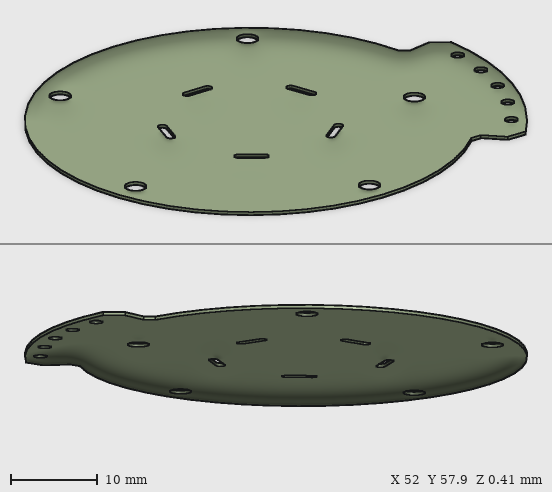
import cadquery as cq
import math

thickness = 0.41
overall_length = 57.9
disc_radius = 26.0
tab_radius = overall_length - disc_radius

tab_corner_x = 13.3
tab_widest_x = 14.05
tab_widest_y = 26.55
tab_neck_x = 12.6
tab_neck_y = 23.8
tab_root_x = 13.0

pattern_count = 5
pattern_step = 360 / pattern_count
mount_diameter = 2.5
mount_radius = 22.9
inner_mount_radius = 19.95

slot_radius = 10.2
slot_length = 4.0
slot_width = 1.05

tab_hole_diameter = 1.5
tab_hole_radius = 30.1
tab_hole_pitch = 4.8
tab_hole_count = 5


def height_on_arc(radius, x):
    """Y of the upper half of a circle about the origin."""
    return math.sqrt(radius**2 - x**2)


def polar(radius, angle):
    """Point at an angle in degrees from +X."""
    return (radius * math.cos(math.radians(angle)), radius * math.sin(math.radians(angle)))


def make_plate():
    tab_corner_y = height_on_arc(tab_radius, tab_corner_x)
    tab_root_y = height_on_arc(disc_radius, tab_root_x)
    return (
        cq.Workplane("XY")
        .moveTo(tab_root_x, tab_root_y)
        .lineTo(tab_neck_x, tab_neck_y)
        .lineTo(tab_widest_x, tab_widest_y)
        .lineTo(tab_corner_x, tab_corner_y)
        .threePointArc((0, tab_radius), (-tab_corner_x, tab_corner_y))
        .lineTo(-tab_widest_x, tab_widest_y)
        .lineTo(-tab_neck_x, tab_neck_y)
        .lineTo(-tab_root_x, tab_root_y)
        .threePointArc((0, -disc_radius), (tab_root_x, tab_root_y))
        .close()
        .extrude(thickness)
    )


def hole_cutter(points, diameter):
    return cq.Workplane("XY").pushPoints(points).circle(diameter / 2).extrude(thickness)


def mount_points():
    outer = [polar(mount_radius, 90 + i * pattern_step) for i in range(1, pattern_count)]
    return [(0, inner_mount_radius)] + outer


def tab_hole_points():
    first_x = -tab_hole_pitch * (tab_hole_count - 1) / 2
    xs = [first_x + i * tab_hole_pitch for i in range(tab_hole_count)]
    return [(x, height_on_arc(tab_hole_radius, x)) for x in xs]


def slot_cutter(turn):
    """Slot at the -Y side, turned about the plate centre."""
    slot = cq.Workplane("XY").center(0, -slot_radius).slot2D(slot_length, slot_width).extrude(thickness)
    return slot.rotate((0, 0, 0), (0, 0, 1), turn)


result = make_plate()
result = result.cut(hole_cutter(mount_points(), mount_diameter))
result = result.cut(hole_cutter(tab_hole_points(), tab_hole_diameter))
for index in range(pattern_count):
    result = result.cut(slot_cutter(index * pattern_step))